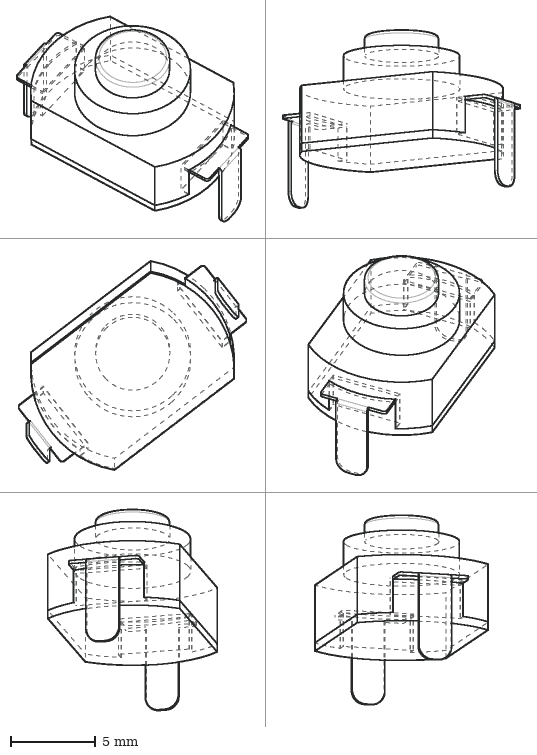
import cadquery as cq

body_diameter = 12.1
body_width = 8.1
body_height = 4.0
collar_diameter = 6.9
collar_height = 2.0

button_diameter = 4.4
button_height = 1.2
button_edge_radius = 0.2

base_thickness = 0.5
tongue_inner_x = 5.04
tongue_clearance = 0.03

terminal_span = 14.4
sheet = 0.2
terminal_top_z = 2.7
terminal_bottom_z = -2.5
plate_width = 4.3
plate_corner_radius = 0.2
leg_width = 2.02
leg_tip_radius = 0.8
bend_inner_radius = 0.1

notch_width = plate_width + 2 * tongue_clearance
tongue_top_z = terminal_top_z - sheet
leg_outer_x = terminal_span / 2
plate_outer_x = leg_outer_x - sheet
ends = (-1, 1)


def flatted_disc(bottom_z, top_z):
    """Disc between two heights, cut to the body width by two flats."""
    height = top_z - bottom_z
    disc = cq.Workplane("XY").workplane(offset=bottom_z).circle(body_diameter / 2).extrude(height)
    return disc.intersect(
        cq.Workplane("XY")
        .workplane(offset=bottom_z)
        .rect(body_diameter, body_width)
        .extrude(height)
    )


def end_block(end, inner_x, outer_x, width, bottom_z, top_z):
    """Box at the -X or +X end, centred on Y."""
    return (
        cq.Workplane("XY")
        .workplane(offset=bottom_z)
        .center(end * (inner_x + outer_x) / 2, 0)
        .rect(outer_x - inner_x, width)
        .extrude(top_z - bottom_z)
    )


def make_housing():
    housing = flatted_disc(base_thickness, body_height)
    collar = (
        cq.Workplane("XY")
        .workplane(offset=body_height)
        .circle(collar_diameter / 2)
        .extrude(collar_height)
    )
    housing = housing.union(collar)
    for end in ends:
        notch = end_block(
            end, tongue_inner_x, body_diameter / 2, notch_width, base_thickness, terminal_top_z
        )
        housing = housing.cut(notch)
    return housing


def make_base():
    base = flatted_disc(0, base_thickness)
    upper_disc = flatted_disc(base_thickness, tongue_top_z)
    for end in ends:
        tongue = end_block(
            end, tongue_inner_x, body_diameter / 2, plate_width, base_thickness, tongue_top_z
        ).intersect(upper_disc)
        base = base.union(tongue)
    return base


def make_button():
    return (
        cq.Workplane("XY")
        .workplane(offset=body_height + collar_height)
        .circle(button_diameter / 2)
        .extrude(button_height)
        .faces(">Z")
        .edges()
        .fillet(button_edge_radius)
    )


def make_terminal(end):
    plate = end_block(end, tongue_inner_x, plate_outer_x, plate_width, tongue_top_z, terminal_top_z)
    outer_side = ">X" if end > 0 else "<X"
    plate = plate.faces(outer_side).edges("|Z").fillet(plate_corner_radius)

    inner_bend_x = plate_outer_x - bend_inner_radius
    strip = (
        cq.Workplane("XZ")
        .moveTo(end * inner_bend_x, terminal_top_z)
        .lineTo(end * plate_outer_x, terminal_top_z)
        .radiusArc((end * leg_outer_x, tongue_top_z), end * sheet)
        .lineTo(end * leg_outer_x, terminal_bottom_z)
        .lineTo(end * plate_outer_x, terminal_bottom_z)
        .lineTo(end * plate_outer_x, tongue_top_z - bend_inner_radius)
        .radiusArc((end * inner_bend_x, tongue_top_z), -end * bend_inner_radius)
        .close()
        .extrude(leg_width / 2, both=True)
    )
    strip = strip.faces("<Z").edges("|X").fillet(leg_tip_radius)
    return plate.union(strip)


housing = make_housing()
base = make_base()
button = make_button()
terminals = [make_terminal(end).val() for end in ends]

result = cq.Compound.makeCompound([housing.val(), base.val(), button.val(), *terminals])